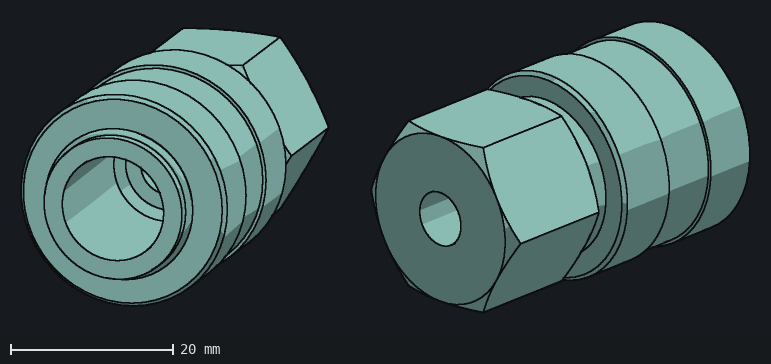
import cadquery as cq
import math

LENGTH = 45.5
SLEEVE_START = 3.7
GRIP_START = 11.2
GRIP_END = 18.7
SLEEVE_END = 26.65
HEX_LENGTH = 16.0
HEX_START = LENGTH - HEX_LENGTH

NOSE_DIAMETER = 18.0
SLEEVE_DIAMETER = 27.0
GRIP_DIAMETER = 26.1
NECK_DIAMETER = 20.6
SLEEVE_CHAMFER = 0.5

RING_DIAMETER = 19.2
RING_CENTER = 2.25
RING_WIDTH = 1.65

HEX_ACROSS_FLATS = 22.0
HEX_CHAMFER_ANGLE = 30.0

SOCKET_DIAMETER = 13.25
SOCKET_FLOOR_DIAMETER = 10.95
SOCKET_DEPTH = 20.48
THROUGH_DIAMETER = 7.0


def cylinder(diameter, start, end):
    """Cylinder about the Y axis between two positions."""
    disc = cq.Workplane("XZ", origin=(0, start, 0)).circle(diameter / 2)
    return disc.extrude(start - end)


def revolve_about_y(profile):
    """Full turn of a closed radius-by-position profile about the Y axis."""
    return profile.close().revolve(360, (0, 0, 0), (0, 1, 0))


def make_sleeve():
    """Chamfered sleeve with a shallow recessed grip band."""
    sleeve = cylinder(SLEEVE_DIAMETER, SLEEVE_START, SLEEVE_END)
    sleeve = sleeve.faces("<Y or >Y").chamfer(SLEEVE_CHAMFER)
    outside_grip = cylinder(SLEEVE_DIAMETER, GRIP_START, GRIP_END)
    inside_grip = cylinder(GRIP_DIAMETER, GRIP_START, GRIP_END)
    return sleeve.cut(outside_grip.cut(inside_grip))


def make_ring():
    """Ring with an arc-shaped crown, solid down to the axis."""
    front = RING_CENTER - RING_WIDTH / 2
    back = RING_CENTER + RING_WIDTH / 2
    nose_radius = NOSE_DIAMETER / 2
    profile = (
        cq.Workplane("XY")
        .moveTo(0, front)
        .lineTo(nose_radius, front)
        .threePointArc((RING_DIAMETER / 2, RING_CENTER), (nose_radius, back))
        .lineTo(0, back)
    )
    return revolve_about_y(profile)


def make_hex():
    """Hexagonal end with the corners turned down conically at both ends."""
    flat_radius = HEX_ACROSS_FLATS / 2
    corner_radius = flat_radius / math.cos(math.radians(30))
    chamfer_length = (corner_radius - flat_radius) * math.tan(math.radians(HEX_CHAMFER_ANGLE))
    prism = (
        cq.Workplane("XZ", origin=(0, HEX_START, 0))
        .polygon(6, 2 * corner_radius)
        .extrude(-HEX_LENGTH)
    )
    turned_profile = (
        cq.Workplane("XY")
        .moveTo(0, HEX_START)
        .lineTo(flat_radius, HEX_START)
        .lineTo(corner_radius, HEX_START + chamfer_length)
        .lineTo(corner_radius, LENGTH - chamfer_length)
        .lineTo(flat_radius, LENGTH)
        .lineTo(0, LENGTH)
    )
    return prism.intersect(revolve_about_y(turned_profile))


def make_bore():
    """Straight socket, 45 degree cone, flat shoulder and through hole."""
    socket_radius = SOCKET_DIAMETER / 2
    floor_radius = SOCKET_FLOOR_DIAMETER / 2
    hole_radius = THROUGH_DIAMETER / 2
    cone_length = socket_radius - floor_radius
    profile = (
        cq.Workplane("XY")
        .lineTo(socket_radius, 0)
        .lineTo(socket_radius, SOCKET_DEPTH - cone_length)
        .lineTo(floor_radius, SOCKET_DEPTH)
        .lineTo(hole_radius, SOCKET_DEPTH)
        .lineTo(hole_radius, LENGTH)
        .lineTo(0, LENGTH)
    )
    return revolve_about_y(profile)


nose = cylinder(NOSE_DIAMETER, 0, SLEEVE_START)
neck = cylinder(NECK_DIAMETER, SLEEVE_END, HEX_START)
body = make_sleeve().union(nose).union(neck).union(make_ring()).union(make_hex())
result = body.cut(make_bore())